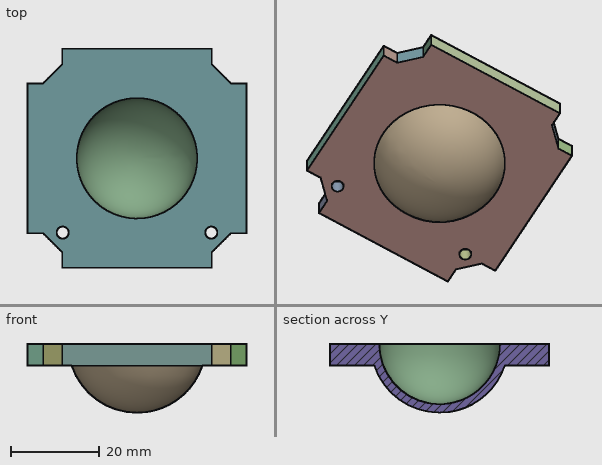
import cadquery as cq

plate_side = 49.8
plate_thickness = 5.0
half_side = plate_side / 2

notch_size = 7.85
notch_wall = 3.6

bowl_outer_radius = 15.7
bowl_inner_radius = 13.7

hole_diameter = 2.7
hole_offset = 16.9


def notched_plate():
    plate = cq.Workplane("XY").box(
        plate_side, plate_side, plate_thickness, centered=(True, True, False)
    )
    plate = plate.translate((0, 0, -plate_thickness))
    shoulder = half_side - notch_size
    wall_end = half_side - notch_wall
    for x_sign in (-1, 1):
        for y_sign in (-1, 1):
            outline = [
                (half_side, half_side),
                (shoulder, half_side),
                (shoulder, wall_end),
                (wall_end, shoulder),
                (half_side, shoulder),
            ]
            points = [(x_sign * x, y_sign * y) for x, y in outline]
            notch = cq.Workplane("XY").polyline(points).close().extrude(-plate_thickness)
            plate = plate.cut(notch)
    return plate


def lower_hemisphere(radius):
    return (
        cq.Workplane("XZ")
        .moveTo(0, 0)
        .lineTo(radius, 0)
        .radiusArc((0, -radius), radius)
        .close()
        .revolve(360, (0, 0), (0, 1))
    )


def mounting_holes():
    return (
        cq.Workplane("XY")
        .pushPoints([(-hole_offset, -hole_offset), (hole_offset, -hole_offset)])
        .circle(hole_diameter / 2)
        .extrude(-plate_thickness)
    )


result = (
    notched_plate()
    .union(lower_hemisphere(bowl_outer_radius))
    .cut(lower_hemisphere(bowl_inner_radius))
    .cut(mounting_holes())
)